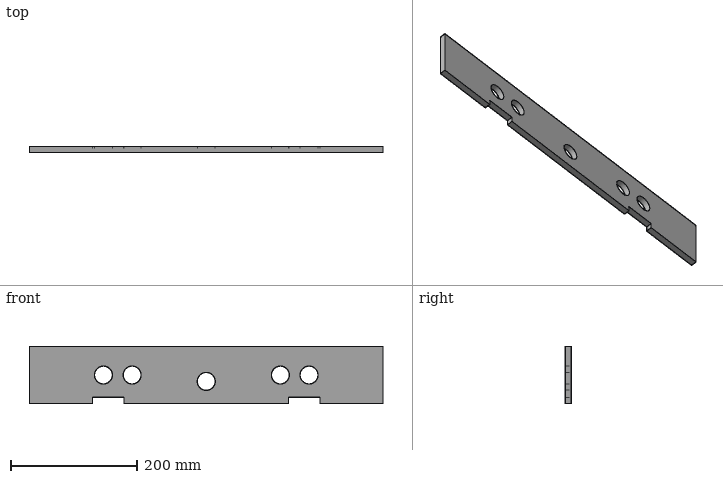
import cadquery as cq

length = 560.0
thickness = 10.0
height = 91.0

hole_diameter = 28.0
pair_center_x = 140.0
pair_spacing = 45.5
pair_z = height / 2
middle_hole_z = 35.0

notch_center_x = 155.0
notch_width = 49.0
notch_depth = thickness


def make_plate():
    """Upright plate centred on X and Y, standing on Z = 0."""
    return cq.Workplane("XY").box(length, thickness, height, centered=(True, True, False))


def make_holes():
    """Cylinders along Y for all five holes."""
    centers = [(0, middle_hole_z)]
    for side in (-1, 1):
        for offset in (-pair_spacing / 2, pair_spacing / 2):
            centers.append((side * pair_center_x + offset, pair_z))
    return (
        cq.Workplane("XZ", origin=(0, thickness, 0))
        .pushPoints(centers)
        .circle(hole_diameter / 2)
        .extrude(2 * thickness)
    )


def make_notches():
    """Two mirrored rectangular blocks along the bottom edge."""
    return (
        cq.Workplane("XY")
        .pushPoints([(-notch_center_x, 0), (notch_center_x, 0)])
        .rect(notch_width, 2 * thickness)
        .extrude(notch_depth)
    )


result = make_plate().cut(make_holes()).cut(make_notches())